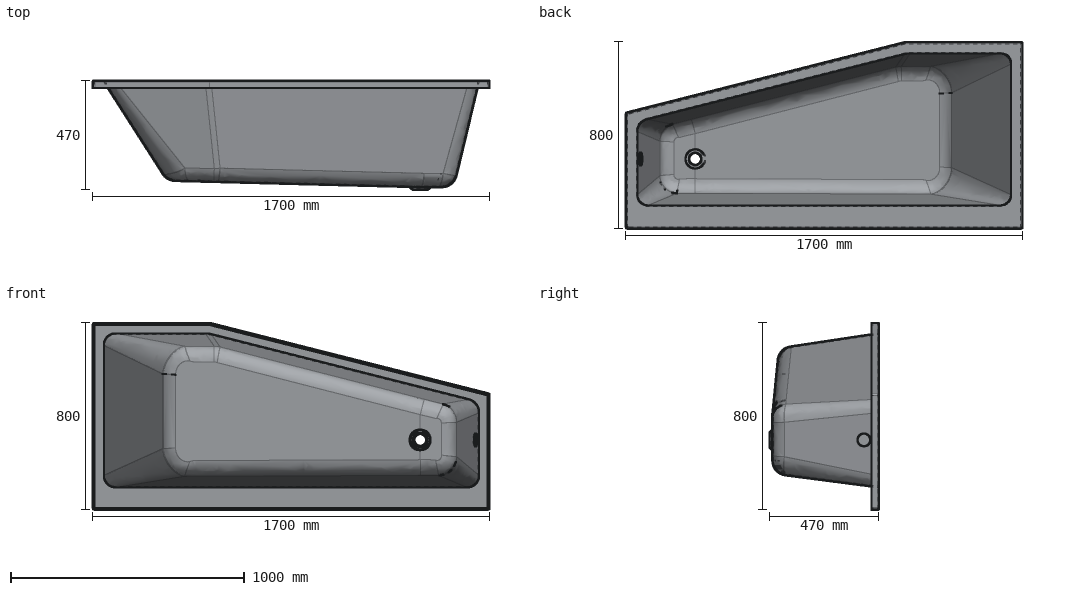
import cadquery as cq
import math


LENGTH = 1700.0
HEIGHT = 800.0
SLANT_START_X = 500.0
SLANT_ANGLE = 14.2
RIM_DEPTH = 32.0
RIM_CORNER_RADIUS = 10.0
RIM_EDGE_RADIUS = 7.0
LIP_THICKNESS = 8.0

WALL = 5.0
SIDE_BORDER = 45.0
FRONT_BORDER = 95.0

FOOT_SLOPE = 0.24
BACK_SLOPE = 0.64
LOW_SLOPE = 0.13
TOP_SLOPE = 0.15
SLANT_SLOPE = 0.12

TOTAL_DEPTH = 470.0
FLOOR_DEPTH_AT_BACK = 422.0
FLOOR_DEPTH_AT_DRAIN = 457.0
FLOOR_FILLET = 68.0
LOFT_DEPTH = 510.0

DISH_OVERLAP = 2.0
DRAIN_X = 1402.0
DRAIN_Z = 300.0
DRAIN_TOP_RADIUS = 45.0
DRAIN_BOTTOM_RADIUS = 30.0
DRAIN_HOLE_RADIUS = 25.0
OVERFLOW_RADIUS = 27.0
OVERFLOW_DEPTH = 65.0

SLANT_BORDER_DROP = SIDE_BORDER / math.cos(math.radians(SLANT_ANGLE))
SIDES = [
    (0, (0, FRONT_BORDER), LOW_SLOPE),
    (90, (LENGTH - SIDE_BORDER, 0), FOOT_SLOPE),
    (180 - SLANT_ANGLE, (SLANT_START_X, HEIGHT - SLANT_BORDER_DROP), SLANT_SLOPE),
    (180, (0, HEIGHT - SIDE_BORDER), TOP_SLOPE),
    (270, (SIDE_BORDER, 0), BACK_SLOPE),
]
CORNERS = [(51.0, 0.16), (51.0, 0.07), (60.0, 0.05), (102.0, 0.0), (51.0, 0.16)]


def plane_at(depth):
    """XZ plane at the given depth below the rim, with local axes X and Z."""
    return cq.Plane(origin=(0, -depth, 0), xDir=(1, 0, 0), normal=(0, -1, 0))


def basin_corner(index, depth, inset):
    """Sharp corner where side `index` starts, at the given depth and wall inset."""
    offsets = []
    for angle, (x, z), slope in (SIDES[index - 1], SIDES[index]):
        a = math.radians(angle)
        inward = slope * depth + inset * math.hypot(1, slope)
        offsets.append((-math.sin(a), math.cos(a), -math.sin(a) * x + math.cos(a) * z + inward))
    (a1, b1, c1), (a2, b2, c2) = offsets
    det = a1 * b2 - a2 * b1
    return cq.Vector((c1 * b2 - c2 * b1) / det, (a1 * c2 - a2 * c1) / det, 0)


def basin_outline(depth, inset):
    """Rounded five-sided outline of the basin at one depth."""
    arcs = []
    for index, (rim_radius, growth) in enumerate(CORNERS):
        corner = basin_corner(index, depth, inset)
        before = math.radians(SIDES[index - 1][0])
        after = math.radians(SIDES[index][0])
        half_turn = (after - before) % (2 * math.pi) / 2
        radius = rim_radius + growth * depth - inset
        setback = radius * math.tan(half_turn)
        start = corner - cq.Vector(math.cos(before), math.sin(before), 0) * setback
        end = corner + cq.Vector(math.cos(after), math.sin(after), 0) * setback
        bisector = before + half_turn + math.pi / 2
        bulge = radius / math.cos(half_turn) - radius
        middle = corner + cq.Vector(math.cos(bisector), math.sin(bisector), 0) * bulge
        arcs.append((start.toTuple()[:2], middle.toTuple()[:2], end.toTuple()[:2]))
    path = cq.Workplane(plane_at(depth)).moveTo(*arcs[-1][2])
    for start, middle, end in arcs:
        path = path.lineTo(*start).threePointArc(middle, end)
    return path.wire().val()


def basin(inset):
    """Solid basin body with its walls and floor moved inward by `inset`."""
    outlines = [basin_outline(depth, inset) for depth in (0, LOFT_DEPTH)]
    body = cq.Workplane(cq.Solid.makeLoft(outlines, True))
    above_floor = (
        cq.Workplane("XY")
        .moveTo(0, 0)
        .lineTo(0, inset - FLOOR_DEPTH_AT_BACK)
        .lineTo(DRAIN_X, inset - FLOOR_DEPTH_AT_DRAIN)
        .lineTo(LENGTH, inset - FLOOR_DEPTH_AT_DRAIN)
        .lineTo(LENGTH, 0)
        .close()
        .extrude(HEIGHT)
    )
    trimmed = body.intersect(above_floor)
    return trimmed.faces("<Y or (<Y[1])").edges().fillet(FLOOR_FILLET - inset)


def drain_dish(inset):
    """Conical dish sunk into the floor around the drain, reduced by `inset`."""
    top = FLOOR_DEPTH_AT_DRAIN - DISH_OVERLAP
    spread = (DRAIN_TOP_RADIUS - DRAIN_BOTTOM_RADIUS) / (TOTAL_DEPTH - FLOOR_DEPTH_AT_DRAIN)
    return (
        cq.Workplane(plane_at(TOTAL_DEPTH - inset))
        .center(DRAIN_X, DRAIN_Z)
        .circle(DRAIN_BOTTOM_RADIUS - inset)
        .workplane(offset=top - TOTAL_DEPTH + inset)
        .circle(DRAIN_TOP_RADIUS + spread * DISH_OVERLAP - inset)
        .loft(ruled=True)
    )


def rim_body():
    """Rim plate with its turned-down lip, hollow underneath."""
    end_height = HEIGHT - (LENGTH - SLANT_START_X) * math.tan(math.radians(SLANT_ANGLE))
    outline = [(0, 0), (LENGTH, 0), (LENGTH, end_height), (SLANT_START_X, HEIGHT), (0, HEIGHT)]
    block = cq.Workplane(plane_at(0)).polyline(outline).close().extrude(RIM_DEPTH)
    hollow = (
        cq.Workplane(plane_at(WALL))
        .polyline(outline)
        .close()
        .offset2D(-LIP_THICKNESS)
        .extrude(RIM_DEPTH)
    )
    block = block.edges("|Y").edges("<X or >X").fillet(RIM_CORNER_RADIUS)
    block = block.faces(">Y").edges().fillet(RIM_EDGE_RADIUS)
    return block.cut(hollow)


def drain_hole():
    """Round hole through the middle of the drain dish."""
    return (
        cq.Workplane(plane_at(0))
        .center(DRAIN_X, DRAIN_Z)
        .circle(DRAIN_HOLE_RADIUS)
        .extrude(TOTAL_DEPTH)
    )


def overflow_hole():
    """Round hole along X through the foot wall, below the lip and in line with the drain."""
    return (
        cq.Workplane("YZ", origin=(DRAIN_X, -OVERFLOW_DEPTH, DRAIN_Z))
        .circle(OVERFLOW_RADIUS)
        .extrude(LENGTH - DRAIN_X)
    )


outside = basin(0).union(drain_dish(0))
inside = basin(WALL).union(drain_dish(WALL))
result = rim_body().union(outside).cut(inside).cut(drain_hole()).cut(overflow_hole())